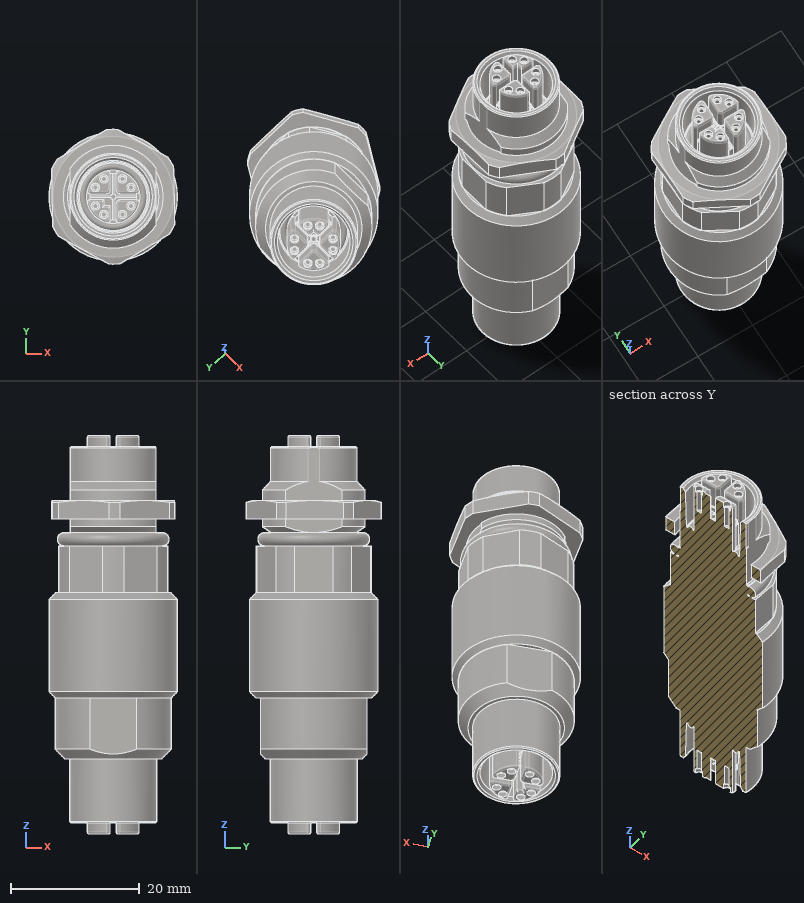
import cadquery as cq
import math

TOTAL_HEIGHT = 61.99

INSERT_PROUD = 1.75
RIM_Z = TOTAL_HEIGHT - INSERT_PROUD
SHELL_RADIUS = 6.75
RIM_CHAMFER = 0.2
LOWER_SHELL_RADIUS = 6.8
SHELL_BASE_Z = TOTAL_HEIGHT - 7.15

THREAD_RADIUS = 8.0
THREAD_TOP_Z = TOTAL_HEIGHT - 8.5
THREAD_BOTTOM_Z = TOTAL_HEIGHT - 14.2
THREAD_END_RADIUS = 6.7
COLLAR_FLAT_OFFSET = 6.69

NUT_TOP_Z = TOTAL_HEIGHT - 10.1
NUT_BOTTOM_Z = TOTAL_HEIGHT - 13.0
NUT_WIDTH = 19.0
NUT_CORNER_RADIUS = 10.5
NUT_CHAMFER_RADIUS = 9.4
NUT_CHAMFER_DROP = 0.3
NUT_BORE_RADIUS = 7.75
NUT_TURN = 1.1

RING_OUTER_RADIUS = 8.7
NECK_RADIUS = 7.1
RING_TOP_Z = TOTAL_HEIGHT - 15.1
HEX_TOP_Z = TOTAL_HEIGHT - 17.2

HEX_WIDTH = 17.0
HEX_CORNER_RADIUS = 9.0

SLEEVE_RADIUS = 10.0
SLEEVE_TOP_Z = TOTAL_HEIGHT - 24.4
SLEEVE_BOTTOM_Z = TOTAL_HEIGHT - 40.85
SLEEVE_TOP_CHAMFER = 1.1
SLEEVE_BOTTOM_CHAMFER = 1.0

CLAMP_RADIUS = 9.05
CLAMP_BOTTOM_Z = TOTAL_HEIGHT - 50.35
CLAMP_CHAMFER = 1.55
CLAMP_FLAT_OFFSET = 8.3

SOCKET_MOUTH_RADIUS = 6.1
SOCKET_WALL_RADIUS = 5.65
SOCKET_WALL_DROP = 0.6
SOCKET_FLOOR_RADIUS = 5.45
SOCKET_DEPTH = 8.0
SOCKET_FLOOR_Z = RIM_Z - SOCKET_DEPTH
SEAL_CENTER_RADIUS = 4.7
SEAL_WIRE_RADIUS = 0.55

INSERT_RADIUS = 4.15
SLOT_WIDTH = 0.92
SLOT_DEPTH = 5.0
OUTER_CORNER_FILLET = 0.45
INNER_CORNER_FILLET = 0.6
FACE_FILLET = 0.3
KEYED_QUARTER = 2
KEY_NOTCH_REACH = 1.4
SLOT_FLOOR_RADIUS = 3.64
RIB_THICKNESS = 0.2
RIB_HEIGHT = 1.0
POST_WIDTH = 0.75

CONTACT_NEAR = 1.45
CONTACT_FAR = 2.77
CONTACT_MOUTH_RADIUS = 0.65
CONTACT_MOUTH_DEPTH = 1.0
CONTACT_BORE_RADIUS = 0.4
CONTACT_DEPTH = 5.0


def cylinder(radius, bottom, top):
    return cq.Workplane("XY").workplane(offset=bottom).circle(radius).extrude(top - bottom)


def revolve(points):
    """Turn a closed (radius, height) outline about Z."""
    return cq.Workplane("XZ").polyline(points).close().revolve(360, (0, 0), (0, 1))


def torus(center_radius, wire_radius, height):
    """Ring of round section about Z, its surface seam running along the underside."""
    section_plane = cq.Plane(origin=(center_radius, 0, height), xDir=(0, 0, -1), normal=(0, 1, 0))
    section = cq.Workplane(section_plane).circle(wire_radius)
    return section.revolve(360, (0, center_radius), (1, center_radius))


def hexagon(width, bottom, top):
    """Hexagonal prism with flats facing -X and +X."""
    corner_diameter = width / math.cos(math.radians(30))
    return (
        cq.Workplane("XY")
        .workplane(offset=bottom)
        .transformed(rotate=(0, 0, 30))
        .polygon(6, corner_diameter)
        .extrude(top - bottom)
    )


def upper_collar():
    """Upper shell and threaded collar, both trimmed by one pair of flats."""
    body = revolve([
        (0, RING_TOP_Z),
        (THREAD_END_RADIUS, RING_TOP_Z),
        (THREAD_RADIUS, THREAD_BOTTOM_Z),
        (THREAD_RADIUS, THREAD_TOP_Z),
        (SHELL_RADIUS, SHELL_BASE_Z),
        (SHELL_RADIUS, RIM_Z - RIM_CHAMFER),
        (SHELL_RADIUS - RIM_CHAMFER, RIM_Z),
        (0, RIM_Z),
    ])
    height = RIM_Z - RING_TOP_Z
    flats = (
        cq.Workplane("XY")
        .workplane(offset=RING_TOP_Z)
        .rect(2 * COLLAR_FLAT_OFFSET, 4 * THREAD_RADIUS)
        .extrude(height)
    )
    return body.intersect(flats)


def panel_nut():
    envelope = revolve([
        (0, NUT_BOTTOM_Z),
        (NUT_CORNER_RADIUS, NUT_BOTTOM_Z),
        (NUT_CORNER_RADIUS, NUT_TOP_Z - NUT_CHAMFER_DROP),
        (NUT_CHAMFER_RADIUS, NUT_TOP_Z),
        (0, NUT_TOP_Z),
    ])
    nut = hexagon(NUT_WIDTH, NUT_BOTTOM_Z, NUT_TOP_Z).rotate((0, 0, 0), (0, 0, 1), NUT_TURN)
    return nut.intersect(envelope).cut(cylinder(NUT_BORE_RADIUS, NUT_BOTTOM_Z, NUT_TOP_Z))


def ring_and_neck():
    wire_radius = (RING_TOP_Z - HEX_TOP_Z) / 2
    ring = torus(RING_OUTER_RADIUS - wire_radius, wire_radius, HEX_TOP_Z + wire_radius)
    return ring.union(cylinder(NECK_RADIUS, HEX_TOP_Z, RING_TOP_Z))


def hex_section():
    envelope = cylinder(HEX_CORNER_RADIUS, SLEEVE_TOP_Z, HEX_TOP_Z)
    return hexagon(HEX_WIDTH, SLEEVE_TOP_Z, HEX_TOP_Z).intersect(envelope)


def sleeve():
    return revolve([
        (0, SLEEVE_BOTTOM_Z),
        (SLEEVE_RADIUS - SLEEVE_BOTTOM_CHAMFER, SLEEVE_BOTTOM_Z),
        (SLEEVE_RADIUS, SLEEVE_BOTTOM_Z + SLEEVE_BOTTOM_CHAMFER),
        (SLEEVE_RADIUS, SLEEVE_TOP_Z - SLEEVE_TOP_CHAMFER),
        (SLEEVE_RADIUS - SLEEVE_TOP_CHAMFER, SLEEVE_TOP_Z),
        (0, SLEEVE_TOP_Z),
    ])


def clamp_body():
    body = revolve([
        (0, CLAMP_BOTTOM_Z),
        (CLAMP_RADIUS - CLAMP_CHAMFER, CLAMP_BOTTOM_Z),
        (CLAMP_RADIUS, CLAMP_BOTTOM_Z + CLAMP_CHAMFER),
        (CLAMP_RADIUS, SLEEVE_BOTTOM_Z),
        (0, SLEEVE_BOTTOM_Z),
    ])
    flats = (
        cq.Workplane("XY")
        .workplane(offset=CLAMP_BOTTOM_Z)
        .rect(4 * CLAMP_RADIUS, 2 * CLAMP_FLAT_OFFSET)
        .extrude(SLEEVE_BOTTOM_Z - CLAMP_BOTTOM_Z)
    )
    return body.intersect(flats)


def lower_shell():
    return cylinder(LOWER_SHELL_RADIUS, INSERT_PROUD, CLAMP_BOTTOM_Z).faces("<Z").chamfer(RIM_CHAMFER)


def upper_socket():
    """Tapered cavity of the upper end."""
    return revolve([
        (0, SOCKET_FLOOR_Z),
        (SOCKET_FLOOR_RADIUS, SOCKET_FLOOR_Z),
        (SOCKET_WALL_RADIUS, RIM_Z - SOCKET_WALL_DROP),
        (SOCKET_MOUTH_RADIUS, RIM_Z),
        (0, RIM_Z),
    ])


def contact_hole():
    step_z = TOTAL_HEIGHT - CONTACT_MOUTH_DEPTH
    bore = cylinder(CONTACT_BORE_RADIUS, TOTAL_HEIGHT - CONTACT_DEPTH, step_z)
    return bore.union(cylinder(CONTACT_MOUTH_RADIUS, step_z, TOTAL_HEIGHT))


def post(length_x, length_y, top):
    """Rectangular upright on the axis, standing on the socket floor."""
    base = cq.Workplane("XY").workplane(offset=SOCKET_FLOOR_Z)
    return base.rect(length_x, length_y).extrude(top - SOCKET_FLOOR_Z)


def quadrant(notched=False):
    """Contact block in the (+X, +Y) quarter, its inner corner whole or notched."""
    wall = SLOT_WIDTH / 2
    size = 2 * INSERT_RADIUS
    corner = post(size, size, TOTAL_HEIGHT).translate((wall + size / 2, wall + size / 2, 0))
    block = cylinder(INSERT_RADIUS, SOCKET_FLOOR_Z, TOTAL_HEIGHT).intersect(corner)
    inner_edge = cq.selectors.NearestToPointSelector((wall, wall, (SOCKET_FLOOR_Z + TOTAL_HEIGHT) / 2))
    block = block.edges(inner_edge).fillet(INNER_CORNER_FILLET)
    for x, y in ((wall, INSERT_RADIUS), (INSERT_RADIUS, wall)):
        outer_edge = cq.selectors.NearestToPointSelector((x, y, (SOCKET_FLOOR_Z + TOTAL_HEIGHT) / 2))
        block = block.edges(outer_edge).fillet(OUTER_CORNER_FILLET)
    if notched:
        block = block.cut(post(2 * KEY_NOTCH_REACH, 2 * KEY_NOTCH_REACH, TOTAL_HEIGHT))
    block = block.faces(">Z").edges().fillet(FACE_FILLET)
    for x, y in ((CONTACT_NEAR, CONTACT_FAR), (CONTACT_FAR, CONTACT_NEAR)):
        block = block.cut(contact_hole().translate((x, y, 0)))
    return block


def slot_floor():
    """Floor of the slots with a thin cross rib and a square post on the axis."""
    floor_z = TOTAL_HEIGHT - SLOT_DEPTH
    rib_top_z = floor_z + RIB_HEIGHT
    rib_length = 2 * SLOT_FLOOR_RADIUS
    floor = cylinder(SLOT_FLOOR_RADIUS, SOCKET_FLOOR_Z, floor_z)
    ribs = post(rib_length, RIB_THICKNESS, rib_top_z).union(post(RIB_THICKNESS, rib_length, rib_top_z))
    ribs = ribs.intersect(cylinder(SLOT_FLOOR_RADIUS, SOCKET_FLOOR_Z, rib_top_z))
    return floor.union(ribs).union(post(POST_WIDTH, POST_WIDTH, rib_top_z))


def upper_insert():
    """Contact insert of the upper end and the seal ring lying around its foot."""
    insert = slot_floor()
    for quarter in range(4):
        block = quadrant(notched=quarter == KEYED_QUARTER)
        insert = insert.union(block.rotate((0, 0, 0), (0, 0, 1), 90 * quarter))
    return insert.union(torus(SEAL_CENTER_RADIUS, SEAL_WIRE_RADIUS, SOCKET_FLOOR_Z))


def at_lower_end(shape):
    """Reflect an upper-end feature to the lower end."""
    return shape.mirror("XY", (0, 0, TOTAL_HEIGHT / 2))


body = upper_collar()
for section in (panel_nut(), ring_and_neck(), hex_section(), sleeve(), clamp_body(), lower_shell()):
    body = body.union(section)

socket = upper_socket()
insert = upper_insert()
body = body.cut(socket).cut(at_lower_end(socket))
result = body.union(insert).union(at_lower_end(insert))